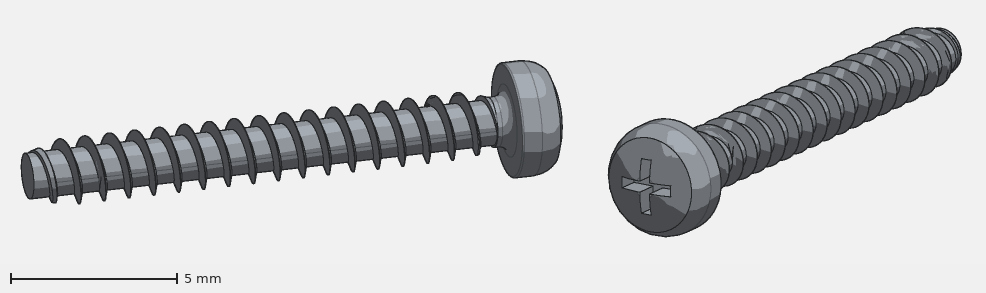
import cadquery as cq
import math

overall_length = 16.57

head_radius = 1.748
head_height = 1.57
rim_height = 0.61
rim_edge_fillet = 0.05
crown_radius = 1.47
crown_height = 0.31
crown_flat_radius = 0.33

neck_radius = 0.76
neck_fillet = 0.35
neck_length = 0.5

core_radius = 0.7

thread_radius = 1.01
thread_pitch = 0.78
root_width = 0.25
crest_width = 0.02
root_overlap = 0.05
start_runout = thread_pitch
end_runout = 1.08
thread_end_gap = 0.05
helix_overrun = 0.2

wing_width = 0.35
recess_span = 1.72
recess_depth = 0.75

top_y = overall_length / 2
tip_y = -overall_length / 2
seat_y = top_y - head_height
rim_y = seat_y + rim_height
crown_y = top_y - crown_height
thread_start_y = seat_y - neck_length
thread_end_y = tip_y + thread_end_gap
helix_start_y = tip_y - helix_overrun


def revolve_about_y(outline):
    """Turn a closed half-outline, drawn as (radius, y), around the screw axis."""
    return outline.close().revolve(360, (0, 0, 0), (0, 1, 0))


def make_blank():
    """Head, neck and core as one turned body."""
    shoulder_rise = crown_y - rim_y
    shoulder_inset = head_radius - crown_radius
    shoulder_arc_radius = (shoulder_rise**2 + shoulder_inset**2) / (2 * shoulder_inset)
    centre_depth = (crown_radius**2 - crown_flat_radius**2 - crown_height**2) / (2 * crown_height)
    crown_sphere_radius = math.hypot(crown_flat_radius, centre_depth)

    outline = (
        cq.Workplane("XY")
        .moveTo(0, tip_y)
        .lineTo(core_radius, tip_y)
        .lineTo(core_radius, thread_start_y)
        .lineTo(neck_radius, thread_start_y)
        .lineTo(neck_radius, seat_y - neck_fillet)
        .radiusArc((neck_radius + neck_fillet, seat_y), neck_fillet)
        .lineTo(head_radius - rim_edge_fillet, seat_y)
        .radiusArc((head_radius, seat_y + rim_edge_fillet), -rim_edge_fillet)
        .lineTo(head_radius, rim_y)
        .radiusArc((crown_radius, crown_y), -shoulder_arc_radius)
        .radiusArc((crown_flat_radius, top_y), -crown_sphere_radius)
        .lineTo(0, top_y)
    )
    return revolve_about_y(outline)


def make_thread():
    """Right-hand helical ridge that rises from the core and sinks back at both ends."""
    thread_height = thread_radius - core_radius
    flank_slope = (root_width - crest_width) / 2 / thread_height
    inner_radius = core_radius - root_overlap
    inner_half_width = root_width / 2 + root_overlap * flank_slope
    crest_half_width = crest_width / 2

    turns = math.ceil((thread_start_y - helix_start_y) / thread_pitch) + 1
    helix = cq.Wire.makeHelix(thread_pitch, turns * thread_pitch, inner_radius)
    ridge = (
        cq.Workplane("XZ")
        .polyline([
            (inner_radius, -inner_half_width),
            (thread_radius, -crest_half_width),
            (thread_radius, crest_half_width),
            (inner_radius, inner_half_width),
        ])
        .close()
        .sweep(cq.Workplane(helix), isFrenet=True)
        .rotate((0, 0, 0), (1, 0, 0), -90)
        .translate((0, helix_start_y, 0))
    )

    clearance = 0.03
    envelope_radius = thread_radius + clearance
    end_slope = end_runout / thread_height
    start_slope = start_runout / (thread_radius - neck_radius)
    envelope = revolve_about_y(
        cq.Workplane("XY")
        .moveTo(0, thread_end_y)
        .lineTo(core_radius, thread_end_y)
        .lineTo(envelope_radius, thread_end_y + end_runout + clearance * end_slope)
        .lineTo(envelope_radius, thread_start_y - start_runout - clearance * start_slope)
        .lineTo(neck_radius, thread_start_y)
        .lineTo(0, thread_start_y)
    )
    envelope = envelope.rotate((0, 0, 0), (0, 1, 0), 90)
    return ridge.intersect(envelope, clean=False)


def make_recess():
    """Two crossing slots sunk into the crown."""
    wing = cq.Workplane("XY").box(recess_span, 2 * recess_depth, wing_width)
    cross = wing.union(wing.rotate((0, 0, 0), (0, 1, 0), 90))
    return cross.translate((0, top_y, 0))


screw = make_blank().union(make_thread(), clean=False).cut(make_recess(), clean=False)
result = screw.solids()